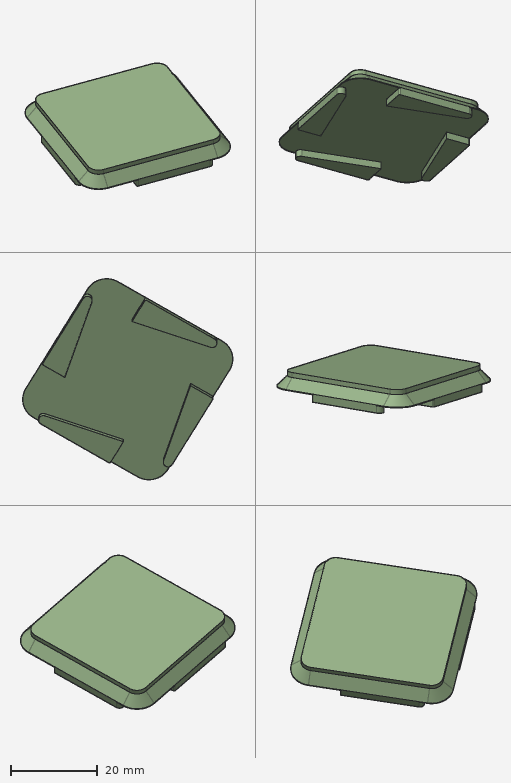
import cadquery as cq
import math

side = 38.0
height = 5.5
corner_radius = 5.05
rim_height = 0.2
bevel = 2.4
crown_height = 1.18

blade_count = 4
blade_start = -6.55
blade_tip = 13.05
blade_root_depth = 6.08
tip_radius = 1.1
heel_fillet = 0.3

blade_height = height - crown_height - bevel - rim_height
half_side = side / 2


def rounded_square(width, radius, thickness, base_z):
    """Square plate with rounded vertical edges, standing on base_z."""
    plate = cq.Workplane("XY", origin=(0, 0, base_z)).rect(width, width).extrude(thickness)
    return plate.edges("|Z").fillet(radius)


def make_cap():
    """Plate with a thin rim, a 45 degree bevel and an upright crown."""
    base = rounded_square(side, corner_radius, rim_height + bevel, blade_height)
    base = base.faces(">Z").edges().chamfer(bevel)
    crown = rounded_square(
        side - 2 * bevel, corner_radius - bevel, crown_height, height - crown_height
    )
    return base.union(crown)


def make_blade():
    """Blade along the -Y side: square heel at low X, round tip at high X."""
    outer_y = -half_side
    root_y = outer_y + blade_root_depth
    center_x = blade_tip - tip_radius
    center_y = outer_y + tip_radius

    run = center_x - blade_start
    drop = root_y - center_y
    taper = math.atan2(drop, run) - math.asin(tip_radius / math.hypot(run, drop))
    tangent_x = center_x + tip_radius * math.sin(taper)
    tangent_y = center_y + tip_radius * math.cos(taper)

    middle_angle = -taper / 2
    middle_x = center_x + tip_radius * math.cos(middle_angle)
    middle_y = center_y + tip_radius * math.sin(middle_angle)

    blade = (
        cq.Workplane("XY")
        .moveTo(blade_start, outer_y)
        .lineTo(center_x, outer_y)
        .threePointArc((middle_x, middle_y), (tangent_x, tangent_y))
        .lineTo(blade_start, root_y)
        .close()
        .extrude(blade_height)
    )
    heel = cq.selectors.NearestToPointSelector((blade_start, outer_y, blade_height / 2))
    return blade.edges(heel).fillet(heel_fillet)


result = make_cap()
blade = make_blade()
for index in range(blade_count):
    angle = index * 360 / blade_count
    result = result.union(blade.rotate((0, 0, 0), (0, 0, 1), angle))